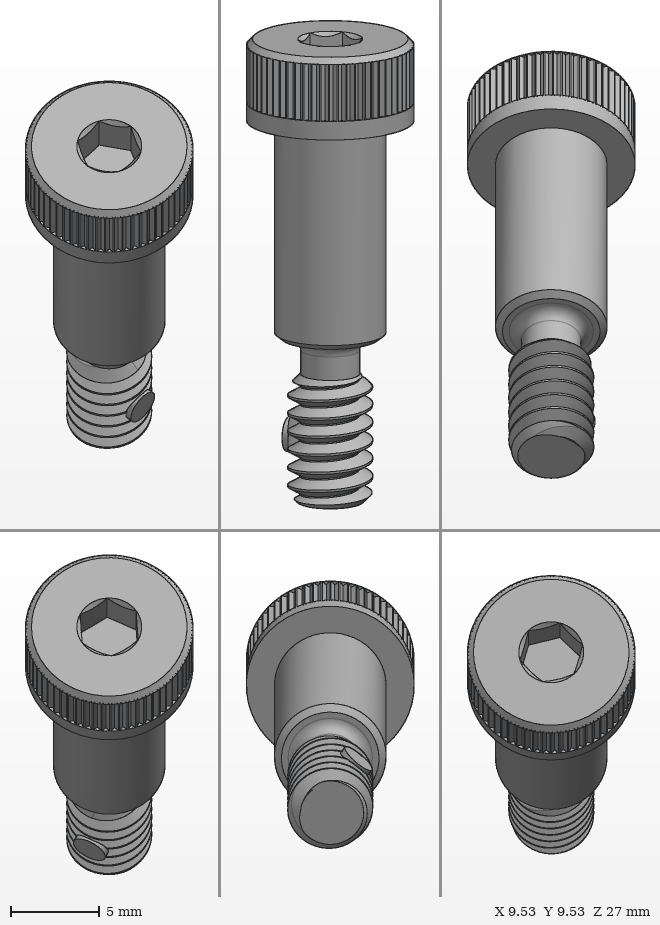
import math
import cadquery as cq

total_length = 27.0
head_diameter = 9.53
head_height = 4.75
shoulder_diameter = 6.35
shoulder_length = 12.7
neck_diameter = 3.37

head_chamfer = 0.35
shoulder_chamfer_height = 0.32
shoulder_chamfer_width = 0.4
neck_fillet = 0.7

hex_across_flats = 3.18
socket_depth = 2.38
socket_lead_in_angle = 45.0

knurl_count = 60
knurl_depth = 0.22
knurl_groove_angle = 90.0
plain_band_height = 1.08

thread_diameter = 4.83
thread_pitch = 1.05
thread_flank_angle = 60.0
thread_top = 7.45
thread_crest_height = 6.65
thread_end_diameter = 3.8
ridge_overlap = 0.03

pellet_diameter = 2.02
pellet_protrusion = 0.13
pellet_height = 3.7
pellet_overlap = 0.03

head_radius = head_diameter / 2
shoulder_radius = shoulder_diameter / 2
neck_radius = neck_diameter / 2
thread_radius = thread_diameter / 2
thread_end_radius = thread_end_diameter / 2
head_base = total_length - head_height
shoulder_base = head_base - shoulder_length
knurl_top = total_length - head_chamfer
knurl_base = head_base + plain_band_height


def turned_body():
    """Head, shoulder and neck, plus the core of the thread, as one revolved outline."""
    fillet_corner = math.sqrt(0.5) * neck_fillet
    fillet_middle = (
        neck_radius + neck_fillet - fillet_corner,
        shoulder_base - neck_fillet + fillet_corner,
    )
    outline = (
        cq.Workplane("XZ")
        .lineTo(neck_radius, 0)
        .lineTo(neck_radius, shoulder_base - neck_fillet)
        .threePointArc(fillet_middle, (neck_radius + neck_fillet, shoulder_base))
        .lineTo(shoulder_radius - shoulder_chamfer_width, shoulder_base)
        .lineTo(shoulder_radius, shoulder_base + shoulder_chamfer_height)
        .lineTo(shoulder_radius, head_base)
        .lineTo(head_radius, head_base)
        .lineTo(head_radius, knurl_top)
        .lineTo(head_radius - head_chamfer, total_length)
        .lineTo(0, total_length)
        .close()
    )
    return outline.revolve(360, (0, 0), (0, 1))


def knurl_grooves():
    """V grooves between the plain band and the head chamfer, the first one on the -Y side."""
    half_angle = math.radians(knurl_groove_angle / 2)
    clearance = knurl_depth
    half_width = (knurl_depth + clearance) * math.tan(half_angle)
    groove = (
        cq.Workplane("XY", origin=(0, 0, knurl_base))
        .moveTo(0, -head_radius + knurl_depth)
        .lineTo(-half_width, -head_radius - clearance)
        .lineTo(half_width, -head_radius - clearance)
        .close()
        .extrude(knurl_top - knurl_base)
        .val()
    )
    z_axis = cq.Vector(0, 0, 1)
    step = 360 / knurl_count
    grooves = [groove.rotate(cq.Vector(), z_axis, i * step) for i in range(knurl_count)]
    return cq.Workplane(cq.Compound.makeCompound(grooves))


def hex_socket():
    """Hexagon with two corners on the Y axis and a conical lead-in to its corners."""
    corner_radius = hex_across_flats / math.sqrt(3)
    lead_in_depth = corner_radius / math.tan(math.radians(socket_lead_in_angle))
    hexagon = (
        cq.Workplane("XY", origin=(0, 0, total_length))
        .transformed(rotate=(0, 0, 90))
        .polygon(6, 2 * corner_radius)
        .extrude(-socket_depth)
    )
    lead_in = cq.Workplane(
        cq.Solid.makeCone(
            corner_radius, 0, lead_in_depth, cq.Vector(0, 0, total_length), cq.Vector(0, 0, -1)
        )
    )
    return hexagon.union(lead_in)


def thread_ridge():
    """Right-handed helical ridge, trimmed by 45 degree cones at both ends."""
    slope = math.tan(math.radians(thread_flank_angle / 2))
    crest_half_width = thread_pitch / 16
    inner_radius = neck_radius - ridge_overlap
    root_half_width = crest_half_width + (thread_radius - inner_radius) * slope

    turns = math.ceil(thread_top / thread_pitch) + 2
    start = thread_crest_height % thread_pitch - thread_pitch
    helix = cq.Wire.makeHelix(thread_pitch, turns * thread_pitch, inner_radius)
    ridge = (
        cq.Workplane("XZ")
        .moveTo(inner_radius, -root_half_width)
        .lineTo(thread_radius, -crest_half_width)
        .lineTo(thread_radius, crest_half_width)
        .lineTo(inner_radius, root_half_width)
        .close()
        .sweep(cq.Workplane(helix), isFrenet=True)
        .rotate((0, 0, 0), (0, 0, 1), 180)
        .translate((0, 0, start))
    )
    outer = 1.2 * thread_radius
    envelope = (
        cq.Workplane("XZ")
        .lineTo(thread_end_radius, 0)
        .lineTo(outer, outer - thread_end_radius)
        .lineTo(outer, thread_top - (outer - neck_radius))
        .lineTo(neck_radius, thread_top)
        .lineTo(0, thread_top)
        .close()
        .revolve(360, (0, 0), (0, 1))
    )
    return ridge.intersect(envelope)


def locking_pellet():
    """Round pellet with a flat outer face, bridging the thread crests."""
    outer_face = thread_radius + pellet_protrusion
    pellet = (
        cq.Workplane("YZ")
        .center(0, pellet_height)
        .circle(pellet_diameter / 2)
        .extrude(outer_face)
    )
    bore = (
        cq.Workplane("XY")
        .circle(thread_radius - pellet_overlap)
        .extrude(shoulder_base)
        .rotate((0, 0, 0), (0, 0, 1), 180)
    )
    return pellet.cut(bore)


result = (
    turned_body()
    .cut(knurl_grooves())
    .cut(hex_socket())
    .union(thread_ridge())
    .union(locking_pellet())
)